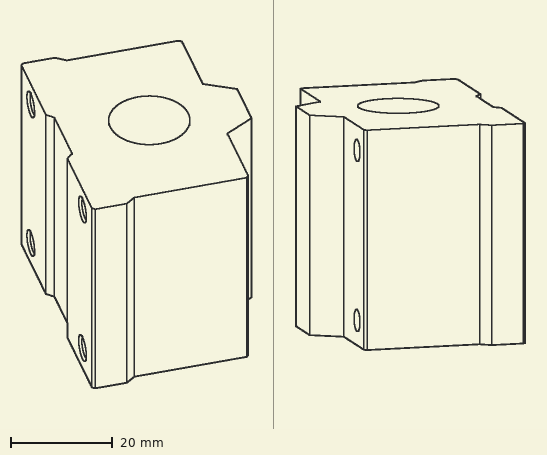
import cadquery as cq

width = 50
depth = 38.5
height = 44
edge_chamfer = 0.5

body_width = 47
body_back = 32.5
flange_edge = 7
flange_slope_end = 9
rib_top_width = 10
rib_base_width = 17
groove_floor_width = 12.3
groove_mouth_width = 15
groove_depth = 1.35

bore_diameter = 16
bore_y = 19

hole_diameter = 4.3
countersink_diameter = 5.3
hole_spacing_x = 36
hole_spacing_z = 34


def make_body():
    """Extrude the symmetric bearing-block profile along Z."""
    right_half = [
        (groove_floor_width / 2, groove_depth),
        (groove_mouth_width / 2, 0),
        (width / 2 - edge_chamfer, 0),
        (width / 2, edge_chamfer),
        (width / 2, flange_edge),
        (body_width / 2, flange_slope_end),
        (body_width / 2, body_back - edge_chamfer),
        (body_width / 2 - edge_chamfer, body_back),
        (rib_base_width / 2, body_back),
        (rib_top_width / 2, depth),
    ]
    left_half = [(-x, y) for x, y in reversed(right_half)]
    return cq.Workplane("XY").polyline(right_half + left_half).close().extrude(height)


def make_bore():
    """Vertical shaft bore through the full height."""
    return cq.Workplane("XY").center(0, bore_y).circle(bore_diameter / 2).extrude(height)


def make_mounting_hole(x, z):
    """Through hole along Y with a 45 degree countersink on the mounting face."""
    origin = cq.Vector(x, 0, z)
    along_y = cq.Vector(0, 1, 0)
    hole_radius = hole_diameter / 2
    countersink_radius = countersink_diameter / 2
    countersink_depth = countersink_radius - hole_radius
    hole = cq.Solid.makeCylinder(hole_radius, body_back, origin, along_y)
    countersink = cq.Solid.makeCone(
        countersink_radius, hole_radius, countersink_depth, origin, along_y
    )
    return hole.fuse(countersink)


result = make_body().cut(make_bore())
for x_side in (-1, 1):
    for z_side in (-1, 1):
        hole_x = x_side * hole_spacing_x / 2
        hole_z = height / 2 + z_side * hole_spacing_z / 2
        result = result.cut(cq.Workplane(make_mounting_hole(hole_x, hole_z)))